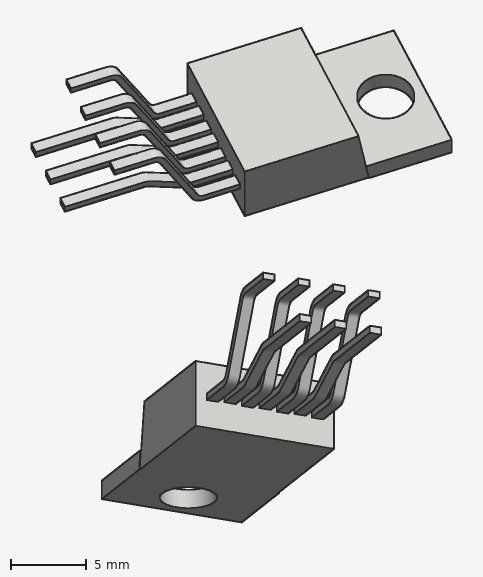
import cadquery as cq
import math


overall_length = 26.67

body_width = 10.05
body_height = 4.6
body_top_length = 8.1
body_bottom_length = 8.83

lead_count = 7
lead_row_span = 7.63
lead_pitch = lead_row_span / (lead_count - 1)
lead_width = 0.83
inner_bend_radius = 0.5

raised_lead = {
    "thickness": 0.45,
    "root_top": 2.4,
    "tip_top": 7.81,
    "root_corner": 2.88,
    "tip_corner": 5.55,
    "length": 8.93,
}
low_lead = {
    "thickness": 0.5,
    "root_top": 2.5,
    "tip_top": 4.03,
    "root_corner": 3.01,
    "tip_corner": 6.03,
    "length": 11.95,
}

tab_width = 10.15
tab_thickness = 1.3
tab_end_y = overall_length - low_lead["length"]
hole_diameter = 3.8
hole_edge_distance = 2.65


def make_body():
    """Block whose rear end leans forward towards the top."""
    return (
        cq.Workplane("YZ")
        .polyline([(0, 0), (body_bottom_length, 0), (body_top_length, body_height), (0, body_height)])
        .close()
        .extrude(body_width / 2, both=True)
    )


def make_tab():
    """Drilled plate that butts against the leaning rear end of the body."""
    lean = (body_bottom_length - body_top_length) / body_height
    tab_top_start_y = body_bottom_length - lean * tab_thickness
    plate = (
        cq.Workplane("YZ")
        .polyline([
            (body_bottom_length, 0),
            (tab_end_y, 0),
            (tab_end_y, tab_thickness),
            (tab_top_start_y, tab_thickness),
        ])
        .close()
        .extrude(tab_width / 2, both=True)
    )
    hole = (
        cq.Workplane("XY")
        .center(0, tab_end_y - hole_edge_distance)
        .circle(hole_diameter / 2)
        .extrude(tab_thickness)
    )
    return plate.cut(hole)


def make_lead(thickness, root_top, tip_top, root_corner, tip_corner, length):
    """Flat strip centred on X = 0, cranked upward between two rounded bends."""
    bend_angle = math.atan2(tip_top - root_top, tip_corner - root_corner)
    miter_shift = thickness * math.tan(bend_angle / 2)
    root_bottom = root_top - thickness
    tip_bottom = tip_top - thickness
    top_root_bend = (-root_corner, root_top)
    top_tip_bend = (-tip_corner, tip_top)
    bottom_root_bend = (-root_corner - miter_shift, root_bottom)
    bottom_tip_bend = (-tip_corner - miter_shift, tip_bottom)
    strip = (
        cq.Workplane("YZ")
        .polyline([
            (0, root_top),
            top_root_bend,
            top_tip_bend,
            (-length, tip_top),
            (-length, tip_bottom),
            bottom_tip_bend,
            bottom_root_bend,
            (0, root_bottom),
        ])
        .close()
        .extrude(lead_width / 2, both=True)
    )

    outer_bend_radius = inner_bend_radius + thickness
    bends = [
        (top_root_bend, inner_bend_radius),
        (bottom_tip_bend, inner_bend_radius),
        (bottom_root_bend, outer_bend_radius),
        (top_tip_bend, outer_bend_radius),
    ]
    for (y, z), radius in bends:
        strip = strip.edges(cq.NearestToPointSelector((0, y, z))).fillet(radius)
    return strip


result = make_body().union(make_tab())
for index in range(lead_count):
    shape = raised_lead if index % 2 == 0 else low_lead
    x = index * lead_pitch - lead_row_span / 2
    result = result.union(make_lead(**shape).translate((x, 0, 0)))